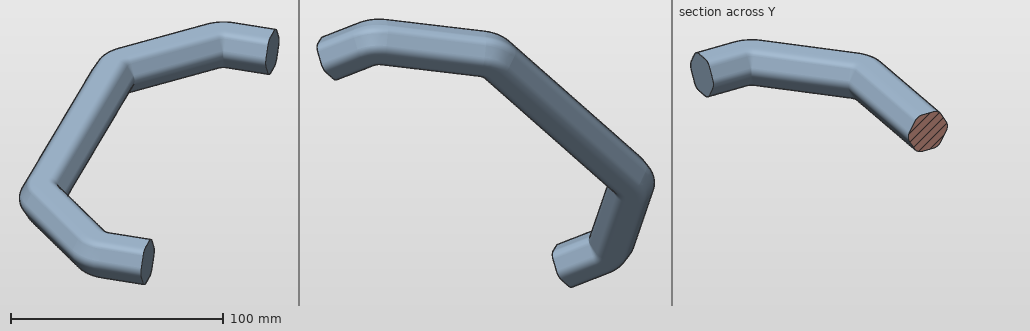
import cadquery as cq
import math


MOUNT_SPACING = 200.0
REACH = 65.0
DIAGONAL_RUN = 39.75
ACROSS_FLATS = 20.0
HEXAGON_SIDES = 6
HEXAGON_TURN = 30.0
EDGE_RADIUS = 4.96
BEND_ANGLE = 45.0
BEND_RADIUS = 11.0

HALF_SPACING = MOUNT_SPACING / 2
CIRCUMSCRIBED_RADIUS = ACROSS_FLATS / 2 / math.cos(math.radians(HEXAGON_TURN))
MOUNT_X = REACH / 2
GRIP_X = MOUNT_X - REACH
LEG_CORNER_X = GRIP_X + DIAGONAL_RUN
GRIP_CORNER_Y = HALF_SPACING - DIAGONAL_RUN

BEND_TANGENT = BEND_RADIUS * math.tan(math.radians(BEND_ANGLE / 2))
BEND_DIAGONAL = BEND_TANGENT * math.cos(math.radians(BEND_ANGLE))


def handle_path():
    """Centre line from one mounting end to the other, straight runs joined by tangent arcs."""
    leg_end_x = LEG_CORNER_X + BEND_TANGENT
    grip_end_y = GRIP_CORNER_Y - BEND_TANGENT
    diagonal_leg_x = LEG_CORNER_X - BEND_DIAGONAL
    diagonal_leg_y = HALF_SPACING - BEND_DIAGONAL
    diagonal_grip_x = GRIP_X + BEND_DIAGONAL
    diagonal_grip_y = GRIP_CORNER_Y + BEND_DIAGONAL
    return (
        cq.Workplane("XY")
        .moveTo(MOUNT_X, -HALF_SPACING)
        .lineTo(leg_end_x, -HALF_SPACING)
        .tangentArcPoint((diagonal_leg_x, -diagonal_leg_y), relative=False)
        .lineTo(diagonal_grip_x, -diagonal_grip_y)
        .tangentArcPoint((GRIP_X, -grip_end_y), relative=False)
        .lineTo(GRIP_X, grip_end_y)
        .tangentArcPoint((diagonal_grip_x, diagonal_grip_y), relative=False)
        .lineTo(diagonal_leg_x, diagonal_leg_y)
        .tangentArcPoint((leg_end_x, HALF_SPACING), relative=False)
        .lineTo(MOUNT_X, HALF_SPACING)
    )


def bar_section():
    """Hexagon with rounded corners at the first mounting end, flats facing up and down."""
    hexagon = (
        cq.Sketch()
        .regularPolygon(CIRCUMSCRIBED_RADIUS, HEXAGON_SIDES, angle=HEXAGON_TURN)
        .vertices()
        .fillet(EDGE_RADIUS)
    )
    return (
        cq.Workplane("YZ", origin=(MOUNT_X, -HALF_SPACING, 0))
        .placeSketch(hexagon)
    )


result = bar_section().sweep(handle_path())